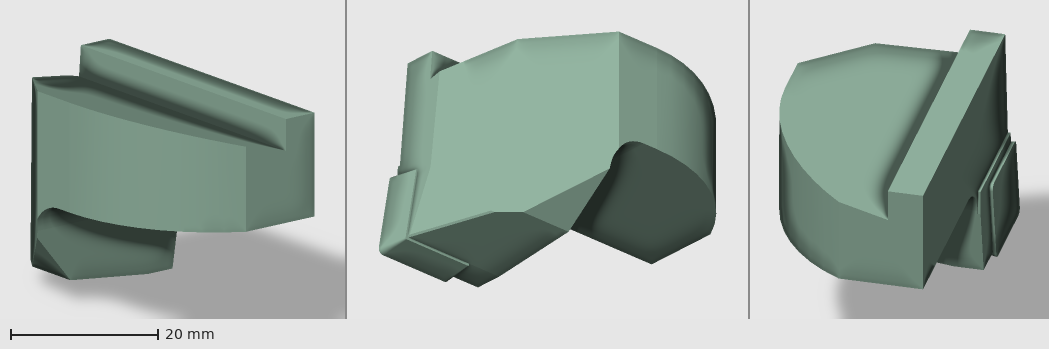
import cadquery as cq
import math


def tan(angle):
    return math.tan(math.radians(angle))


def sin(angle):
    return math.sin(math.radians(angle))


def cos(angle):
    return math.cos(math.radians(angle))


insert_side = 12.85
insert_thickness = 4.75
insert_nose_radius = 0.8
lead_angle = 10
relief_angle = 7

holder_right = 49.5
holder_back_y = -0.9
holder_front_y = -25.9
end_lean = 5
end_top_x = 4.5
end_bend_z = 11.45
end_bend_radius = 9.9

tongue_top_z = 30.5
tongue_front_y = -5.85
slope_low_z = 26.0
slope_angle = 15
stock_top_z = 34.65

overhang_z = 15.8
neck_x = 20.45
neck_radius = 5.5

front_flat_left = 20.5
front_flat_right = 27.45
front_arc_radius = 25.0
facet_angle = 35

side_face_point = (6.1, -15.7, 2.6)
side_face_turn = 25
side_face_lean = 3.9
side_edge_chamfer = 0.25

underside_z = 1
lower_facet_y = -18.35
lower_facet_angle = 48

pad_y = -0.5
pad_top_z = 14.25
pad_right = 19.55

cutter_size = 148.45


def half_space(point, outward):
    """Block holding everything outside the plane through point with that outward normal."""
    plane = cq.Plane(origin=point, normal=outward)
    return cq.Workplane(plane).box(cutter_size, cutter_size, cutter_size, centered=(True, True, False))


def make_insert():
    height = insert_side * cos(lead_angle)
    shift = insert_side * sin(lead_angle)
    corner_x = insert_nose_radius * (1 - tan(lead_angle) - 1 / cos(lead_angle))
    sharp = (
        cq.Workplane("XZ")
        .moveTo(corner_x, 0)
        .lineTo(corner_x + insert_side, 0)
        .lineTo(corner_x + insert_side + shift, height)
        .lineTo(corner_x + shift, height)
        .close()
    )
    prism = sharp.extrude(insert_thickness).edges("|Y").fillet(insert_nose_radius)
    rake_outline = prism.faces(">Y").wires().val()
    return cq.Workplane("XZ").add(rake_outline).toPending().extrude(insert_thickness, taper=relief_angle)


def make_profile(back_y, depth):
    """Side profile of the holder as a prism running from back_y towards -Y."""
    end_bend_x = end_top_x - (tongue_top_z - end_bend_z) * tan(end_lean)
    end_upper_x = end_bend_x + (stock_top_z - end_bend_z) * tan(end_lean)
    end_foot_x = end_bend_x - (end_bend_z - underside_z) * tan(lead_angle)
    bend_reach = end_bend_radius * tan((lead_angle - end_lean) / 2)
    bend_end = (end_bend_x - bend_reach * sin(lead_angle), end_bend_z - bend_reach * cos(lead_angle))
    neck_foot_x = neck_x - (overhang_z - underside_z) * tan(lead_angle)
    profile = (
        cq.Workplane("XZ", origin=(0, back_y, 0))
        .moveTo(end_foot_x, underside_z)
        .lineTo(neck_foot_x, underside_z)
        .lineTo(neck_x, overhang_z)
        .lineTo(holder_right, overhang_z)
        .lineTo(holder_right, stock_top_z)
        .lineTo(end_upper_x, stock_top_z)
        .lineTo(end_bend_x + bend_reach * sin(end_lean), end_bend_z + bend_reach * cos(end_lean))
        .tangentArcPoint(bend_end, relative=False)
        .close()
        .extrude(depth)
    )
    neck_corner = cq.NearestToPointSelector((neck_x, back_y - depth / 2, overhang_z))
    return profile.edges(neck_corner).fillet(neck_radius)


def make_plan():
    """Plan outline of the holder as a prism along Z."""
    arc_center_y = holder_front_y + front_arc_radius
    arc_reach = holder_right - front_flat_right
    arc_end_y = arc_center_y - math.sqrt(front_arc_radius**2 - arc_reach**2)
    arc_half_angle = math.degrees(math.asin(arc_reach / front_arc_radius)) / 2
    arc_middle = (
        front_flat_right + front_arc_radius * sin(arc_half_angle),
        arc_center_y - front_arc_radius * cos(arc_half_angle),
    )
    facet_end_y = holder_front_y + front_flat_left * tan(facet_angle)
    return (
        cq.Workplane("XY")
        .moveTo(0, holder_back_y)
        .lineTo(0, facet_end_y)
        .lineTo(front_flat_left, holder_front_y)
        .lineTo(front_flat_right, holder_front_y)
        .threePointArc(arc_middle, (holder_right, arc_end_y))
        .lineTo(holder_right, holder_back_y)
        .close()
        .extrude(stock_top_z)
    )


def cut_top(body):
    slope = half_space(
        (0, tongue_front_y, slope_low_z),
        (0, sin(slope_angle), cos(slope_angle)),
    )
    in_front_of_tongue = half_space((0, tongue_front_y, 0), (0, -1, 0))
    above_tongue = half_space((0, 0, tongue_top_z), (0, 0, 1))
    behind_tongue_front = half_space((0, tongue_front_y, 0), (0, 1, 0))
    body = body.cut(slope.intersect(in_front_of_tongue))
    return body.cut(above_tongue.intersect(behind_tongue_front))


def cut_underside(body):
    underside = half_space(
        (0, -insert_thickness, underside_z),
        (0, -sin(relief_angle), -cos(relief_angle)),
    )
    lower_facet_z = underside_z + (-insert_thickness - lower_facet_y) * tan(relief_angle)
    lower_facet = half_space(
        (0, lower_facet_y, lower_facet_z),
        (0, -sin(lower_facet_angle), -cos(lower_facet_angle)),
    )
    return body.cut(underside).cut(lower_facet)


def cut_side_face(body):
    outward = (
        -cos(side_face_turn) * cos(side_face_lean),
        -sin(side_face_turn) * cos(side_face_lean),
        sin(side_face_lean),
    )
    body = body.cut(half_space(side_face_point, outward))
    edge_y = (side_face_point[1] - insert_thickness) / 2
    edge_z = underside_z + (-insert_thickness - edge_y) * tan(relief_angle)
    edge_x = side_face_point[0] - (edge_y - side_face_point[1]) * tan(side_face_turn)
    lower_edge = cq.NearestToPointSelector((edge_x, edge_y, edge_z))
    return body.edges(lower_edge).chamfer(side_edge_chamfer)


def make_pad():
    pad = make_profile(pad_y, pad_y - holder_back_y)
    pad = pad.cut(half_space((0, 0, pad_top_z), (0, 0, 1)))
    return pad.cut(half_space((pad_right, 0, 0), (1, 0, 0)))


def make_holder(insert):
    body = make_profile(holder_back_y, holder_back_y - holder_front_y).intersect(make_plan())
    body = cut_side_face(cut_underside(cut_top(body)))
    body = body.union(cut_underside(make_pad()))
    return body.cut(insert)


insert = make_insert()
holder = make_holder(insert)

result = cq.Compound.makeCompound([holder.val(), insert.val()])